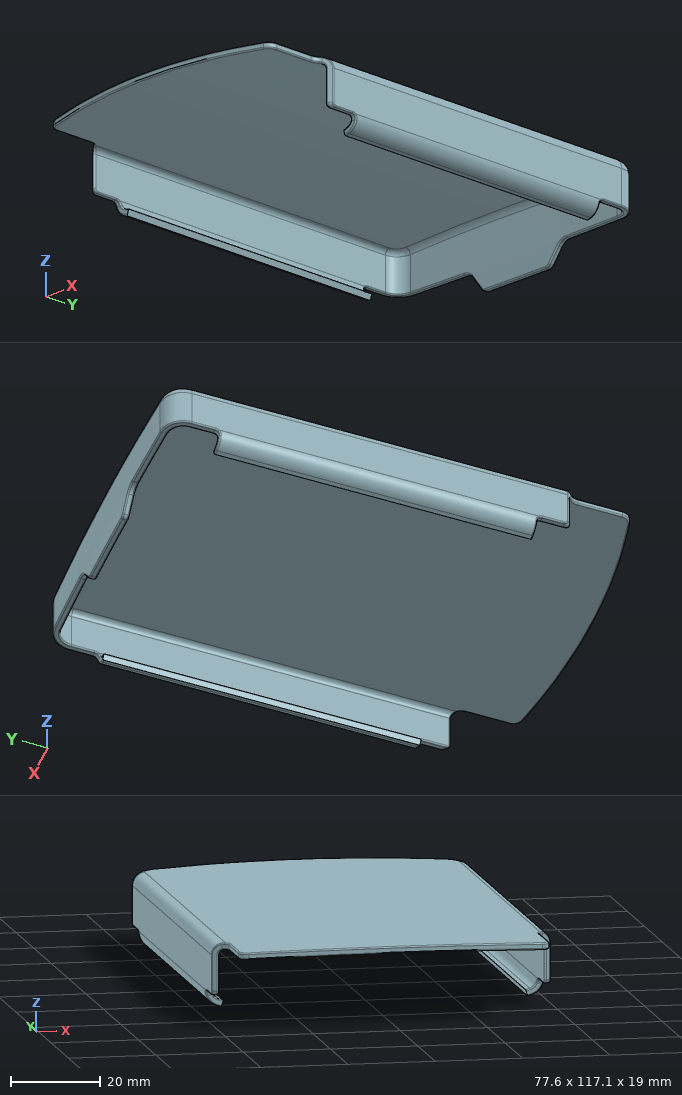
import cadquery as cq
import math

width = 77.61
length = 117.12
height = 18.97
sheet = 1.6

half_width = width / 2
crown_sag = 1.4
back_bow = 0.6
corner_radius = 5.6
top_radius = 3.0
wall_bottom = -13.4
wall_length = 96.4
edge_round = 0.35

lip_half_width = 35.5
relief_rise = 2.3
lip_relief_radius = 2.7
lip_corner_radius = 2.5
lip_bow = 4.4

tab_base_half_width = 14.8
tab_tip_half_width = 10.5
tab_root_radius = 3.5
tab_corner_radius = 1.5

hook_back = -12.8
hook_front = -89.1
hook_root_radius = 1.2
wall_corner_radius = 1.0
hook_bend_radius = 4.0
hook_bend_angle = 72.0
hook_straight = 1.0

tab_room = 5.0

overrun = 20.0
crown_radius = half_width ** 2 / (2 * crown_sag) + crown_sag / 2


def rounded_block(inset):
    """Crowned block with rounded top edges, set inside the outer skin by `inset`."""
    side = half_width - inset
    front = -(length + overrun + inset)
    outline = (
        cq.Workplane("XY")
        .workplane(offset=-height - inset)
        .moveTo(-side, front)
        .lineTo(-side, -back_bow - inset)
        .threePointArc((0, -inset), (side, -back_bow - inset))
        .lineTo(side, front)
        .close()
        .extrude(height + overrun)
        .edges("|Z")
        .edges(">Y")
        .fillet(corner_radius - inset)
    )
    crown = (
        cq.Workplane("XZ", origin=(0, overrun, 0))
        .center(0, -crown_radius)
        .circle(crown_radius - inset)
        .extrude(length + 3 * overrun)
    )
    block = outline.intersect(crown)
    top_face = block.faces(cq.selectors.NearestToPointSelector((0, -length / 2, -inset)))
    front_edge = block.edges("<Y").vals()
    rims = [e for e in top_face.edges().vals() if not any(e.isSame(f) for f in front_edge)]
    return block.newObject(rims).fillet(top_radius - inset)


def plan_blank():
    """Prism of the part's plan outline: wide walls, sloping reliefs, then the bowed lip."""
    reach = half_width + overrun
    relief_y = -wall_length - relief_rise
    lip_corner_y = -length + lip_bow
    blank = (
        cq.Workplane("XY")
        .workplane(offset=-height - overrun)
        .moveTo(-reach, overrun)
        .lineTo(-reach, -wall_length)
        .lineTo(-half_width, -wall_length)
        .lineTo(-lip_half_width, relief_y)
        .lineTo(-lip_half_width, lip_corner_y)
        .threePointArc((0, -length), (lip_half_width, lip_corner_y))
        .lineTo(lip_half_width, relief_y)
        .lineTo(half_width, -wall_length)
        .lineTo(reach, -wall_length)
        .lineTo(reach, overrun)
        .close()
        .extrude(height + 2 * overrun)
    )
    for side in (-1, 1):
        for corner_y, radius in ((relief_y, lip_relief_radius), (lip_corner_y, lip_corner_radius)):
            corner = cq.selectors.NearestToPointSelector((side * lip_half_width, corner_y, 0))
            blank = blank.edges("|Z").edges(corner).fillet(radius)
    return blank


def side_blank():
    """Prism of the side outline: straight wall edges, hook ends, and room for the back tab."""
    front = -length - overrun
    low = -height - overrun
    blank = (
        cq.Workplane("YZ")
        .moveTo(overrun, overrun)
        .lineTo(overrun, low)
        .lineTo(-tab_room, low)
        .lineTo(-tab_room, wall_bottom)
        .lineTo(hook_back, wall_bottom)
        .lineTo(hook_back, low)
        .lineTo(hook_front, low)
        .lineTo(hook_front, wall_bottom)
        .lineTo(front, wall_bottom)
        .lineTo(front, overrun)
        .close()
        .extrude(half_width + overrun, both=True)
    )
    for hook_end in (hook_back, hook_front):
        corner = cq.selectors.NearestToPointSelector((0, hook_end, wall_bottom))
        blank = blank.edges("|X").edges(corner).fillet(hook_root_radius)
    return blank


def back_tab_blank():
    """Prism of the back outline: everything above the wall edge, with the trapezoidal tab."""
    reach = half_width + overrun
    blank = (
        cq.Workplane("XZ", origin=(0, overrun, 0))
        .moveTo(-reach, overrun)
        .lineTo(-reach, wall_bottom)
        .lineTo(-tab_base_half_width, wall_bottom)
        .lineTo(-tab_tip_half_width, -height)
        .lineTo(tab_tip_half_width, -height)
        .lineTo(tab_base_half_width, wall_bottom)
        .lineTo(reach, wall_bottom)
        .lineTo(reach, overrun)
        .close()
        .extrude(length + 3 * overrun)
    )
    for half, level, radius in (
        (tab_base_half_width, wall_bottom, tab_root_radius),
        (tab_tip_half_width, -height, tab_corner_radius),
    ):
        for side in (-1, 1):
            corner = cq.selectors.NearestToPointSelector((side * half, -length / 2, level))
            blank = blank.edges("|Y").edges(corner).fillet(radius)
    return blank


def hook_point(side, radius, turn, run=0.0):
    """X and Z on the bend at `radius` after `turn` radians, then `run` further along the tangent."""
    x = half_width - hook_bend_radius + radius * math.cos(turn) - run * math.sin(turn)
    z = wall_bottom - radius * math.sin(turn) - run * math.cos(turn)
    return side * x, z


def hook(side):
    """Inward curled flange under one side wall (`side` is -1 or 1), with spare length for its roots."""
    angle = math.radians(hook_bend_angle)
    outer = hook_bend_radius
    inner = hook_bend_radius - sheet
    return (
        cq.Workplane("XZ", origin=(0, hook_back + hook_root_radius, 0))
        .moveTo(*hook_point(side, outer, 0))
        .threePointArc(hook_point(side, outer, angle / 2), hook_point(side, outer, angle))
        .lineTo(*hook_point(side, outer, angle, hook_straight))
        .lineTo(*hook_point(side, inner, angle, hook_straight))
        .lineTo(*hook_point(side, inner, angle))
        .threePointArc(hook_point(side, inner, angle / 2), hook_point(side, inner, 0))
        .close()
        .extrude(hook_back - hook_front + 2 * hook_root_radius)
    )


def round_wall_corners(body):
    """Round the lower front corner of each side wall."""
    for side in (-1, 1):
        wall_middle = side * (half_width - sheet / 2)
        corner = cq.selectors.NearestToPointSelector((wall_middle, -wall_length, wall_bottom))
        body = body.edges(corner).fillet(wall_corner_radius)
    return body


def soften_cut_edges(body):
    """Round the outer and inner sheet rims; each rim is smooth, so one edge leads the fillet along it."""
    rim_points = (
        (0, -length, 0),
        (0, -length, -sheet),
        (0, 0, -height),
        (0, -sheet, -height),
    )
    for rim_point in rim_points:
        rim_edge = cq.selectors.NearestToPointSelector(rim_point)
        body = body.edges(rim_edge).fillet(edge_round)
    return body


shell = rounded_block(0).cut(rounded_block(sheet))
cover = shell.intersect(plan_blank()).intersect(back_tab_blank())
for hook_side in (-1, 1):
    cover = cover.union(hook(hook_side))
cover = cover.intersect(side_blank())
cover = round_wall_corners(cover)
cover = soften_cut_edges(cover)

result = cover.solids()